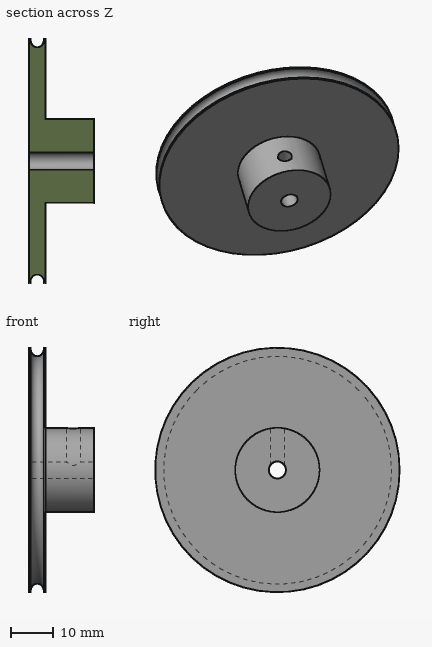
import cadquery as cq

wheel_diameter = 58.0
wheel_width = 4.0
hub_diameter = 20.0
overall_length = 15.5
bore_diameter = 4.0

groove_width = 3.0
groove_depth = 2.0

screw_hole_diameter = 3.3
screw_hole_x = 10.5

wheel_radius = wheel_diameter / 2
hub_radius = hub_diameter / 2
groove_radius = groove_width / 2
groove_start_x = (wheel_width - groove_width) / 2
groove_end_x = groove_start_x + groove_width
groove_floor_radius = wheel_radius - groove_depth
groove_center_radius = groove_floor_radius + groove_radius


def make_body():
    """Wheel, rim groove and hub, revolved from half of the cross-section."""
    profile = (
        cq.Workplane("XY")
        .moveTo(0, 0)
        .lineTo(0, wheel_radius)
        .lineTo(groove_start_x, wheel_radius)
        .lineTo(groove_start_x, groove_center_radius)
        .threePointArc(
            (wheel_width / 2, groove_floor_radius),
            (groove_end_x, groove_center_radius),
        )
        .lineTo(groove_end_x, wheel_radius)
        .lineTo(wheel_width, wheel_radius)
        .lineTo(wheel_width, hub_radius)
        .lineTo(overall_length, hub_radius)
        .lineTo(overall_length, 0)
        .close()
    )
    return profile.revolve(360, (0, 0, 0), (1, 0, 0))


def make_bore():
    """Shaft bore through the whole length."""
    return cq.Workplane("YZ").circle(bore_diameter / 2).extrude(overall_length)


def make_screw_hole():
    """Radial hole from the bore out through the top (+Z) of the hub."""
    return (
        cq.Workplane("XY")
        .center(screw_hole_x, 0)
        .circle(screw_hole_diameter / 2)
        .extrude(hub_radius)
    )


result = make_body().cut(make_bore()).cut(make_screw_hole())